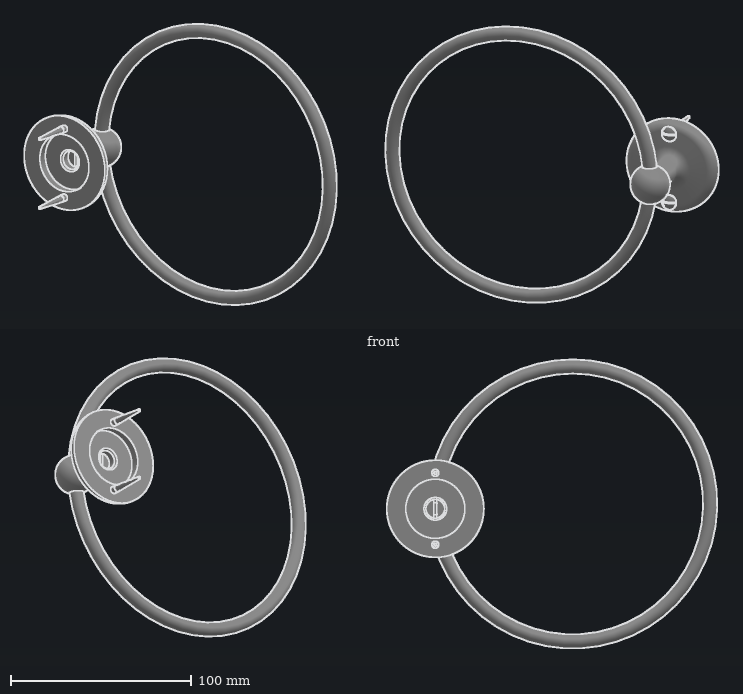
import cadquery as cq
import math


ball_radius = 11.1
ball_center_y = 36.9
stem_radius = 5.1
stem_start_y = 22.6

ring_tube_radius = 4.0
ring_radius = 76.2
ring_tilt = 2.0
ring_center_x = ring_radius * math.cos(math.radians(ring_tilt))
ring_center_z = ring_radius * math.sin(math.radians(ring_tilt))

plate_radius = 27.0
rim_height = 1.0
rim_round = 5.5
plate_edge_height = rim_height + rim_round
plate_top_height = 7.2
flare_outer_radius = 13.0
neck_radius = 6.35
neck_start = 14.1
neck_end_radius = 5.45
neck_end = ball_center_y - math.sqrt(ball_radius**2 - neck_end_radius**2)

recess_radius = 16.4
recess_depth = 5.5
bore_radius = 5.2
bore_chamfer = 1.1
bore_end = 14.4

clamp_head_height = 3.0
clamp_shank_radius = 3.3
clamp_end = 31.0
clamp_slot_width = 1.65

screw_spacing = 39.8
screw_head_radius = 4.4
screw_head_edge_height = 6.8
screw_head_top = 8.2
screw_shank_radius = 2.0
screw_head_cone_end = screw_head_edge_height - (screw_head_radius - screw_shank_radius)
screw_shank_end = -3.5
screw_taper_radius = 1.9
screw_tip_radius = 0.75
screw_tip = -24.53
screw_slot_width = 0.8
screw_slot_depth = 1.5


def turned(outline):
    """Turn a closed (radius, y) outline about the Y axis."""
    return outline.close().revolve(360, (0, 0, 0), (0, 1, 0))


def rod(radius, start, end):
    """A cylinder on the Y axis between two heights."""
    return cq.Workplane("XZ", origin=(0, start, 0)).circle(radius).extrude(start - end)


def make_ring():
    ring = cq.Solid.makeTorus(
        ring_radius,
        ring_tube_radius,
        cq.Vector(ring_center_x, ball_center_y, ring_center_z),
        cq.Vector(0, 1, 0),
    )
    return cq.Workplane(ring)


def make_clamp_screw():
    """A cylindrical head, slotted through its full height, on a plain shank."""
    head_top = bore_end - clamp_head_height
    screw = rod(bore_radius, head_top, bore_end)
    screw = screw.union(rod(clamp_shank_radius, bore_end, clamp_end))
    slot = cq.Workplane("XY").box(clamp_slot_width, clamp_head_height, 2 * bore_radius)
    return screw.cut(slot.translate((0, head_top + clamp_head_height / 2, 0)))


def make_ball():
    """A sphere with a flat and a stem for the post, the ring's channel and the clamping screw's hole."""
    ball = cq.Workplane("XY").sphere(ball_radius).translate((0, ball_center_y, 0))
    ball = ball.cut(rod(ball_radius, ball_center_y - ball_radius, neck_end))
    ball = ball.union(rod(stem_radius, stem_start_y, neck_end))
    ball = ball.cut(make_ring())
    return ball.cut(rod(clamp_shank_radius, stem_start_y, clamp_end))


def make_wood_screw_blank():
    """A raised countersunk screw without its slot, on the Y axis."""
    dome_rise = screw_head_top - screw_head_edge_height
    dome_radius = (screw_head_radius**2 + dome_rise**2) / (2 * dome_rise)
    half_angle = math.asin(screw_head_radius / dome_radius) / 2
    dome_middle = (
        dome_radius * math.sin(half_angle),
        screw_head_top - dome_radius * (1 - math.cos(half_angle)),
    )
    return turned(
        cq.Workplane("XY")
        .moveTo(0, screw_tip)
        .lineTo(screw_tip_radius, screw_tip)
        .lineTo(screw_taper_radius, screw_shank_end)
        .lineTo(screw_shank_radius, screw_shank_end)
        .lineTo(screw_shank_radius, screw_head_cone_end)
        .lineTo(screw_head_radius, screw_head_edge_height)
        .threePointArc(dome_middle, (0, screw_head_top))
    )


def make_wood_screw():
    slot = cq.Workplane("XY").box(2 * screw_head_radius, 2 * screw_slot_depth, screw_slot_width)
    return make_wood_screw_blank().cut(slot.translate((0, screw_head_top, 0)))


def make_rosette(screw_places):
    """The plate and post, hollowed for the clamping screw, the ball's stem and the wood screws."""
    diagonal = math.sqrt(0.5)
    rim_middle = (
        plate_radius - rim_round * (1 - diagonal),
        rim_height + rim_round * diagonal,
    )
    flare_middle = (
        flare_outer_radius - (flare_outer_radius - neck_radius) * diagonal,
        neck_start - (neck_start - plate_top_height) * diagonal,
    )
    rosette = turned(
        cq.Workplane("XY")
        .lineTo(plate_radius, 0)
        .lineTo(plate_radius, rim_height)
        .threePointArc(rim_middle, (plate_radius - rim_round, plate_edge_height))
        .lineTo(flare_outer_radius, plate_top_height)
        .threePointArc(flare_middle, (neck_radius, neck_start))
        .lineTo(neck_end_radius, neck_end)
        .lineTo(0, neck_end)
    )
    hollow = turned(
        cq.Workplane("XY")
        .lineTo(recess_radius, 0)
        .lineTo(recess_radius, recess_depth)
        .lineTo(bore_radius + bore_chamfer, recess_depth)
        .lineTo(bore_radius, recess_depth + bore_chamfer)
        .lineTo(bore_radius, bore_end)
        .lineTo(clamp_shank_radius, bore_end)
        .lineTo(clamp_shank_radius, stem_start_y)
        .lineTo(stem_radius, stem_start_y)
        .lineTo(stem_radius, neck_end)
        .lineTo(0, neck_end)
    )
    rosette = rosette.cut(hollow)
    for place in screw_places:
        rosette = rosette.cut(make_wood_screw_blank().translate(place))
    return rosette


screw_places = [(0, 0, side * screw_spacing / 2) for side in (-1, 1)]

ring = make_ring()
ball = make_ball()
rosette = make_rosette(screw_places)
clamp_screw = make_clamp_screw()
wood_screws = [make_wood_screw().translate(place) for place in screw_places]

result = cq.Compound.makeCompound(
    [ring.val(), ball.val(), rosette.val(), clamp_screw.val()]
    + [screw.val() for screw in wood_screws]
)